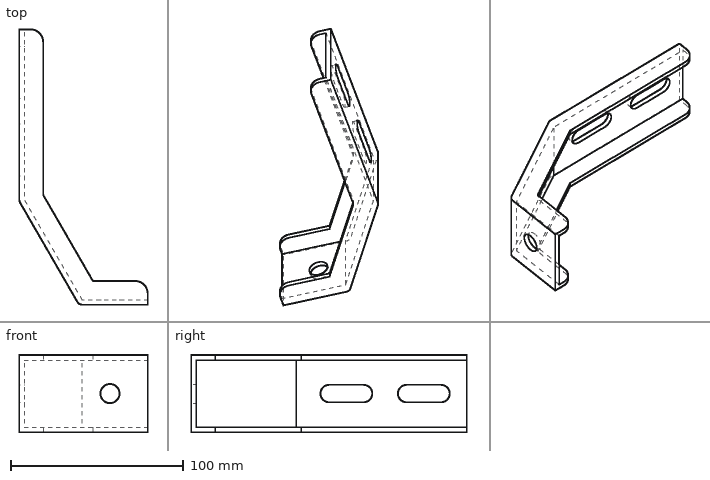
import cadquery as cq
import math

FLANGE_DEPTH = 14.0
SHEET_THICKNESS = 3.0
HEIGHT = 45.0
LONG_LEG = 100.0
MIDDLE_LEG = 69.5
SHORT_LEG = 40.0
MIDDLE_ANGLE = 60.0
OUTER_BEND_RADIUS = 3.75
FLANGE_END_RADIUS = 7.5

SLOT_LENGTH = 30.0
SLOT_WIDTH = 10.0
SLOT_PITCH = 45.0
SLOT_END_MARGIN = 10.0
SLOT_COUNT = 2

HOLE_DIAMETER = 11.0
HOLE_END_DISTANCE = 22.0

lower_bend_x = MIDDLE_LEG * math.cos(math.radians(MIDDLE_ANGLE))
upper_bend_y = MIDDLE_LEG * math.sin(math.radians(MIDDLE_ANGLE))
length_x = lower_bend_x + SHORT_LEG
length_y = upper_bend_y + LONG_LEG


def vertical_edge_at(x, y, height):
    """Selector for the upright edge at (x, y) of a body standing on Z = 0."""
    return cq.selectors.NearestToPointSelector((x, y, height / 2))


def bent_bar(depth, height):
    """Bar of the given depth along the outer faces, with the outer side of both bends rounded."""
    upper_bend_shift = depth * math.tan(math.radians(90.0 - MIDDLE_ANGLE) / 2)
    lower_bend_shift = depth * math.tan(math.radians(MIDDLE_ANGLE) / 2)
    outline = [
        (0, length_y),
        (0, upper_bend_y),
        (lower_bend_x, 0),
        (length_x, 0),
        (length_x, depth),
        (lower_bend_x + lower_bend_shift, depth),
        (depth, upper_bend_y + upper_bend_shift),
        (depth, length_y),
    ]
    bar = cq.Workplane("XY").polyline(outline).close().extrude(height)
    for x, y in [(0, upper_bend_y), (lower_bend_x, 0)]:
        bar = bar.edges("|Z").edges(vertical_edge_at(x, y, height)).fillet(OUTER_BEND_RADIUS)
    return bar


def web():
    """Upright wall along the outer side of all three legs."""
    return bent_bar(SHEET_THICKNESS, HEIGHT)


def flange():
    """Bottom flange, with the inner corner of both free ends rounded."""
    plate = bent_bar(FLANGE_DEPTH, SHEET_THICKNESS)
    for x, y in [(FLANGE_DEPTH, length_y), (length_x, FLANGE_DEPTH)]:
        plate = plate.edges("|Z").edges(vertical_edge_at(x, y, SHEET_THICKNESS)).fillet(FLANGE_END_RADIUS)
    return plate


def slot_cutters():
    """Slots running along Y, cut through the web of the long leg in X."""
    first_centre_y = length_y - SLOT_END_MARGIN - SLOT_LENGTH / 2
    centres = [(first_centre_y - i * SLOT_PITCH, HEIGHT / 2) for i in range(SLOT_COUNT)]
    return cq.Workplane("YZ").pushPoints(centres).slot2D(SLOT_LENGTH, SLOT_WIDTH).extrude(SHEET_THICKNESS)


def hole_cutter():
    """Round hole cut through the web of the short leg in Y."""
    centre = (length_x - HOLE_END_DISTANCE, HEIGHT / 2)
    return cq.Workplane("XZ").center(*centre).circle(HOLE_DIAMETER / 2).extrude(-SHEET_THICKNESS)


bottom_flange = flange()
top_flange = bottom_flange.translate((0, 0, HEIGHT - SHEET_THICKNESS))
channel = web().union(bottom_flange).union(top_flange)
result = channel.cut(slot_cutters()).cut(hole_cutter())